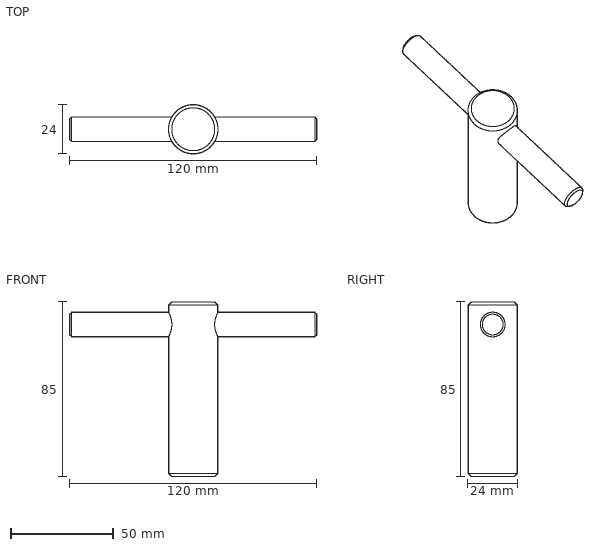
import cadquery as cq

post_diameter = 24.0
post_height = 85.0
post_chamfer = 1.5

bar_length = 120.0
bar_diameter = post_diameter / 2
bar_chamfer = 1.0
bar_depth_below_top = 11.0
bar_height = post_height - bar_depth_below_top


def chamfered_rod(plane, diameter, length, chamfer):
    """Round rod along the plane normal with both end rims chamfered."""
    return cq.Workplane(plane).circle(diameter / 2).extrude(length).edges("%CIRCLE").chamfer(chamfer)


post = chamfered_rod("XY", post_diameter, post_height, post_chamfer)

bar = chamfered_rod("YZ", bar_diameter, bar_length, bar_chamfer)
bar = bar.translate((-bar_length / 2, 0, bar_height))

result = post.union(bar)